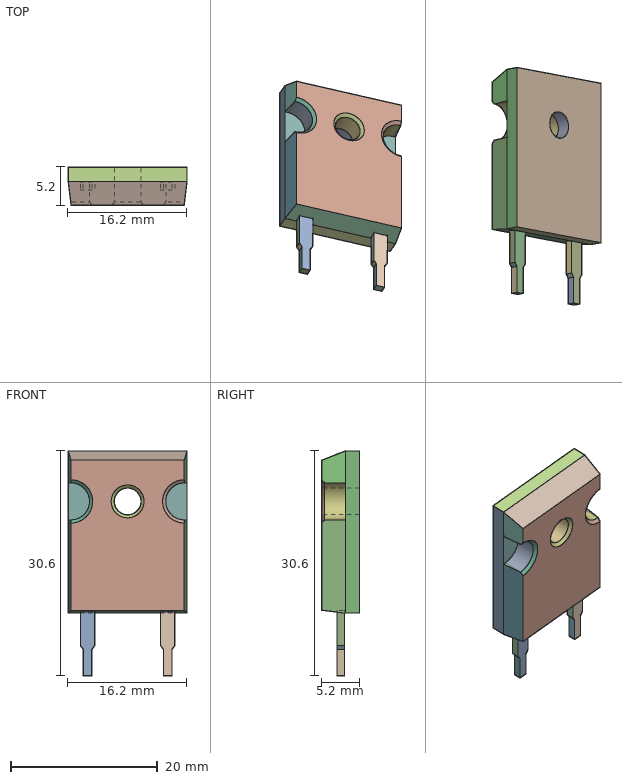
import cadquery as cq

total_height = 30.62
package_width = 16.2
package_depth = 5.2
lead_length = 8.5
package_height = total_height - lead_length

plate_depth = 1.95
housing_depth = package_depth - plate_depth
side_taper = 0.4
top_taper = 1.3

feature_z = package_height - 6.9
hole_radius = 1.8
recess_radius = 2.5
recess_center_x = package_width / 2 - side_taper
rim_chamfer = 0.43

lead_pitch = 10.9
lead_thickness = 1.07
lead_gap = 0.1
lead_wide = 1.95
lead_narrow = 1.2
lead_narrow_length = 3.58
lead_shoulder_height = 0.52
lead_embed = side_taper


def front_plane(depth):
    """Workplane facing -Y, at the given depth in front of the back face."""
    return cq.Workplane("XZ", origin=(0, -depth, 0))


def make_plate():
    plate = front_plane(0).rect(package_width, package_height).extrude(plate_depth)
    plate = plate.translate((0, 0, package_height / 2))
    hole = front_plane(0).center(0, feature_z).circle(hole_radius).extrude(plate_depth)
    return plate.cut(hole)


def make_housing_block():
    """Block that narrows from the plate outline to the smaller front face."""
    front_width = package_width - 2 * side_taper
    front_height = package_height - side_taper - top_taper
    front_center_z = side_taper + front_height / 2
    return (
        front_plane(plate_depth)
        .center(0, package_height / 2)
        .rect(package_width, package_height)
        .workplane(offset=housing_depth)
        .center(0, front_center_z - package_height / 2)
        .rect(front_width, front_height)
        .loft(ruled=True)
    )


def make_round_cutter(x, radius):
    """Round cutter through the housing, widening at 45 degrees to the front face."""
    bore = front_plane(plate_depth).center(x, feature_z).circle(radius).extrude(housing_depth)
    rim = (
        front_plane(package_depth - rim_chamfer)
        .center(x, feature_z)
        .circle(radius)
        .workplane(offset=rim_chamfer)
        .circle(radius + rim_chamfer)
        .loft()
    )
    return bore.union(rim)


def make_recess_cutter(side):
    """Round recess cutter with a straight run out through one side wall."""
    center_x = side * recess_center_x
    run_x = center_x + side * recess_radius / 2
    rim_radius = recess_radius + rim_chamfer
    rim_start = housing_depth - rim_chamfer
    run = (
        cq.Workplane("YZ", origin=(run_x, -plate_depth, feature_z))
        .moveTo(0, -recess_radius)
        .lineTo(-rim_start, -recess_radius)
        .lineTo(-housing_depth, -rim_radius)
        .lineTo(-housing_depth, rim_radius)
        .lineTo(-rim_start, recess_radius)
        .lineTo(0, recess_radius)
        .close()
        .extrude(recess_radius / 2, both=True)
    )
    return make_round_cutter(center_x, recess_radius).union(run)


def make_lead(x):
    """Flat lead with a wide upper part, sloped shoulders and a narrow tip."""
    shoulder_low = lead_narrow_length - lead_length
    shoulder_high = shoulder_low + lead_shoulder_height
    return (
        front_plane(plate_depth + lead_gap)
        .center(x, 0)
        .moveTo(-lead_narrow / 2, -lead_length)
        .lineTo(lead_narrow / 2, -lead_length)
        .lineTo(lead_narrow / 2, shoulder_low)
        .lineTo(lead_wide / 2, shoulder_high)
        .lineTo(lead_wide / 2, lead_embed)
        .lineTo(-lead_wide / 2, lead_embed)
        .lineTo(-lead_wide / 2, shoulder_high)
        .lineTo(-lead_narrow / 2, shoulder_low)
        .close()
        .extrude(lead_thickness)
    )


def make_housing(lead_bodies):
    housing = make_housing_block().cut(make_round_cutter(0, hole_radius))
    for side in (-1, 1):
        housing = housing.cut(make_recess_cutter(side))
    for lead in lead_bodies:
        housing = housing.cut(lead)
    return housing


leads = [make_lead(side * lead_pitch / 2) for side in (-1, 1)]
plate = make_plate()
housing = make_housing(leads)

result = cq.Compound.makeCompound([
    plate.solids().val(),
    housing.solids().val(),
    *[lead.val() for lead in leads],
])